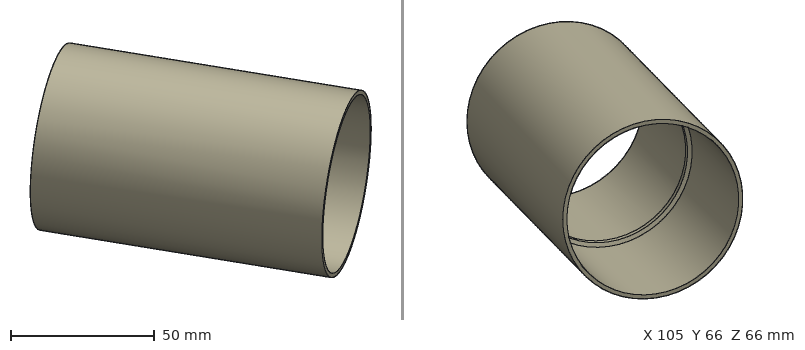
import cadquery as cq

length = 105.0
outer_diameter = 66.0
socket_diameter = 63.0
stop_diameter = 60.0
stop_base_width = 3.0
stop_slope_run = 0.5

half_length = length / 2
outer_radius = outer_diameter / 2
socket_radius = socket_diameter / 2
stop_radius = stop_diameter / 2
base_half_width = stop_base_width / 2
crest_half_width = base_half_width - stop_slope_run

result = (
    cq.Workplane("XY")
    .moveTo(-half_length, outer_radius)
    .lineTo(-half_length, socket_radius)
    .lineTo(-base_half_width, socket_radius)
    .lineTo(-crest_half_width, stop_radius)
    .lineTo(crest_half_width, stop_radius)
    .lineTo(base_half_width, socket_radius)
    .lineTo(half_length, socket_radius)
    .lineTo(half_length, outer_radius)
    .close()
    .revolve(360, (0, 0, 0), (1, 0, 0))
)